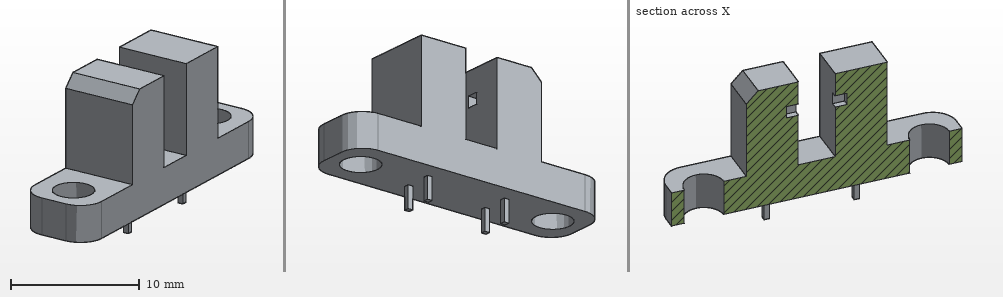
import cadquery as cq

length = 24.5
width = 6.3
base_height = 3.1
corner_radius = 2.0
mount_hole_diameter = 3.3
mount_hole_spacing = 19.0

tower_height = 7.7
tower_span = 11.9
gap = 3.09
tower_thickness = (tower_span - gap) / 2
tower_offset = (gap + tower_thickness) / 2
chamfer = 1.0
top = base_height + tower_height

window_size = 1.0
window_depth = 1.0
window_drop = 2.6

pin_size = 0.47
pin_length = 2.0
pin_spacing_x = 2.45
pin_spacing_y = 7.6


def make_base():
    """Rounded flange with a mounting hole at each end."""
    flange = cq.Workplane("XY").rect(width, length).extrude(base_height)
    flange = flange.edges("|Z").fillet(corner_radius)
    mount_holes = (
        cq.Workplane("XY")
        .rarray(0.25, mount_hole_spacing, 1, 2)
        .circle(mount_hole_diameter / 2)
        .extrude(base_height)
    )
    return flange.cut(mount_holes)


def make_towers():
    """Both towers, the -Y one chamfered along its outer top edge."""
    block = cq.Workplane("XY").box(width, tower_thickness, top, centered=(True, True, False))
    plain_tower = block.translate((0, tower_offset, 0))
    chamfered_tower = block.faces(">Z").edges("<Y").chamfer(chamfer).translate((0, -tower_offset, 0))
    return plain_tower.union(chamfered_tower)


def make_window_cutter():
    """Bar across the gap that sinks an aligned window into each tower."""
    return (
        cq.Workplane("XY")
        .box(window_size, gap + 2 * window_depth, window_size)
        .translate((0, 0, top - window_drop))
    )


def make_pins():
    """Four leads hanging from the underside of the base."""
    return (
        cq.Workplane("XY")
        .rarray(pin_spacing_x, pin_spacing_y, 2, 2)
        .rect(pin_size, pin_size)
        .extrude(-pin_length)
    )


result = make_base().union(make_towers()).cut(make_window_cutter()).union(make_pins())